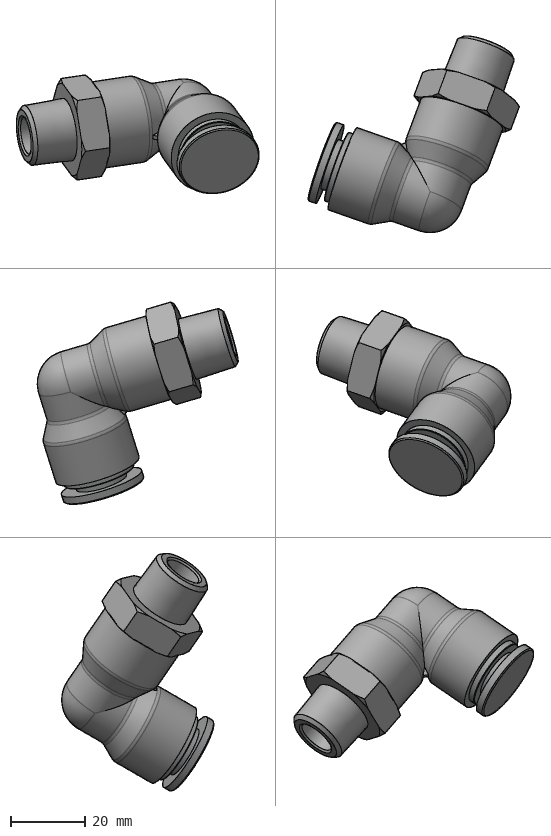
import cadquery as cq
import math


PIPE_DIAMETER = 17.95
SOCKET_DIAMETER = 23.5
FLARE_START = 7.9
FLARE_END = 13.0
FLARE_BLEND_RADIUS = 2.0
SOCKET_END = 24.95
WEB_THICKNESS = 1.15
WEB_LONG_REACH = 12.6
WEB_SHORT_REACH = 11.35

HEX_ACROSS_FLATS = 24.0
HEX_LENGTH = 8.0
HEX_FACE_DIAMETER = 25.1
HEX_CHAMFER_ANGLE = 25.0
NIPPLE_END = 45.0
THREAD_DIAMETER = 17.0
THREAD_TAPER = 1 / 16
THREAD_CHAMFER = 1.0
BORE_DIAMETER = 10.0
BORE_CHAMFER = 0.5

RING_DIAMETER = 19.6
RING_LENGTH = 1.75
RING_CHAMFER = 0.15

NECK_DIAMETER = 14.2
NECK_LENGTH = 1.95
FLANGE_WIDTH = 22.65
FLANGE_HEIGHT = 19.4
COLLAR_END = 30.95
FLANGE_CHAMFER = 0.35

HEX_END = SOCKET_END + HEX_LENGTH
RING_END = SOCKET_END + RING_LENGTH
NECK_END = RING_END + NECK_LENGTH


def make_outlet_arm():
    """Pipe along +X that flares out to the socket, with both flare corners blended."""
    pipe_radius = PIPE_DIAMETER / 2
    socket_radius = SOCKET_DIAMETER / 2
    arm = (
        cq.Workplane("XY")
        .polyline([
            (0, 0),
            (0, pipe_radius),
            (FLARE_START, pipe_radius),
            (FLARE_END, socket_radius),
            (SOCKET_END, socket_radius),
            (SOCKET_END, 0),
        ])
        .close()
        .revolve(360, (0, 0, 0), (1, 0, 0))
    )
    flare_corners = arm.edges(cq.selectors.BoxSelector(
        (FLARE_START / 2, -SOCKET_DIAMETER, -SOCKET_DIAMETER),
        ((FLARE_END + SOCKET_END) / 2, SOCKET_DIAMETER, SOCKET_DIAMETER),
    )).edges("%CIRCLE")
    return flare_corners.fillet(FLARE_BLEND_RADIUS)


def make_web():
    """Thin web that fills the inner corner between the two flares."""
    return (
        cq.Workplane("XY")
        .polyline([
            (0, 0),
            (WEB_LONG_REACH, -WEB_SHORT_REACH),
            (WEB_SHORT_REACH, -WEB_LONG_REACH),
        ])
        .close()
        .extrude(WEB_THICKNESS / 2, both=True)
    )


def make_elbow():
    outlet_arm = make_outlet_arm()
    inlet_arm = outlet_arm.rotate((0, 0, 0), (0, 0, 1), -90)
    corner = cq.Workplane("XY").sphere(PIPE_DIAMETER / 2)
    return outlet_arm.union(inlet_arm).union(corner).union(make_web())


def make_hexagon():
    """Hexagon with the corners of both end faces turned down to a shallow cone."""
    across_corners = HEX_ACROSS_FLATS / math.cos(math.pi / 6)
    hexagon = (
        cq.Workplane("XZ", origin=(0, -SOCKET_END, 0))
        .polygon(6, across_corners)
        .extrude(HEX_LENGTH)
    )
    corner_radius = across_corners / 2
    face_radius = HEX_FACE_DIAMETER / 2
    chamfer_length = (corner_radius - face_radius) * math.tan(math.radians(HEX_CHAMFER_ANGLE))
    turned_blank = (
        cq.Workplane("XY")
        .polyline([
            (0, -SOCKET_END),
            (face_radius, -SOCKET_END),
            (corner_radius, -SOCKET_END - chamfer_length),
            (corner_radius, -HEX_END + chamfer_length),
            (face_radius, -HEX_END),
            (0, -HEX_END),
        ])
        .close()
        .revolve(360, (0, 0, 0), (0, 1, 0))
    )
    return hexagon.intersect(turned_blank)


def make_nipple():
    base_radius = THREAD_DIAMETER / 2
    taper_end = NIPPLE_END - THREAD_CHAMFER
    tip_radius = base_radius - (taper_end - HEX_END) * THREAD_TAPER / 2
    thread = (
        cq.Workplane("XY")
        .polyline([
            (0, -HEX_END),
            (base_radius, -HEX_END),
            (tip_radius, -taper_end),
            (tip_radius - THREAD_CHAMFER, -NIPPLE_END),
            (0, -NIPPLE_END),
        ])
        .close()
        .revolve(360, (0, 0, 0), (0, 1, 0))
    )
    bore_radius = BORE_DIAMETER / 2
    bore = (
        cq.Workplane("XY")
        .polyline([
            (0, -SOCKET_END),
            (bore_radius, -SOCKET_END),
            (bore_radius, -NIPPLE_END + BORE_CHAMFER),
            (bore_radius + BORE_CHAMFER, -NIPPLE_END),
            (0, -NIPPLE_END),
        ])
        .close()
        .revolve(360, (0, 0, 0), (0, 1, 0))
    )
    return make_hexagon().union(thread).cut(bore)


def make_ring():
    return (
        cq.Workplane("YZ", origin=(SOCKET_END, 0, 0))
        .circle(RING_DIAMETER / 2)
        .extrude(RING_LENGTH)
        .faces(">X")
        .chamfer(RING_CHAMFER)
    )


def make_collar():
    """Round neck with an oval push flange."""
    neck = (
        cq.Workplane("YZ", origin=(RING_END, 0, 0))
        .circle(NECK_DIAMETER / 2)
        .extrude(NECK_LENGTH)
    )
    flange = (
        cq.Workplane("YZ", origin=(NECK_END, 0, 0))
        .ellipse(FLANGE_WIDTH / 2, FLANGE_HEIGHT / 2)
        .extrude(COLLAR_END - NECK_END)
        .faces(">X")
        .chamfer(FLANGE_CHAMFER)
    )
    return neck.union(flange)


elbow = make_elbow()
nipple = make_nipple()
ring = make_ring()
collar = make_collar()

result = cq.Compound.makeCompound([elbow.val(), nipple.val(), ring.val(), collar.val()])